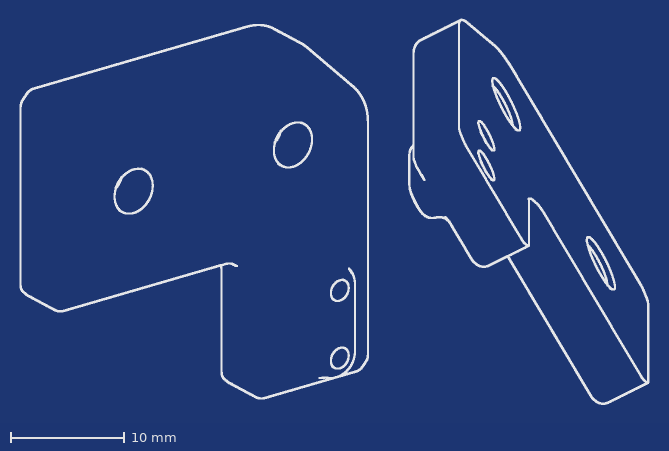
import cadquery as cq
import math

length = 35.0
height = 34.0
plate_thickness = 5.0
arm_height = 20.0
leg_width = 12.9
corner_chamfer = 1.0
corner_blend_radius = 1.0
edge_radius = 1.0
outer_chamfer = 8.0
outer_blend_radius = 5.0
inner_chamfer = 2.0
inner_blend_radius = 2.0

total_thickness = 7.0
boss_top_radius = 1.95
boss_draft = 12.0
boss_root_radius = 1.47
boss_rim_radius = 0.98

large_hole_diameter = 4.2
large_hole_spacing = 17.5
large_hole_drop = 10.0
small_hole_diameter = 1.95
small_hole_spacing = 6.5
small_hole_inset = 5.08
lower_hole_height = 3.22
countersink_depth = 0.5

back = length / 2
front = -length / 2
leg_front = back - leg_width
arm_bottom = height - arm_height
small_hole_y = back - small_hole_inset
small_hole_heights = [lower_hole_height, lower_hole_height + small_hole_spacing]


def round_edges(body, points, radius):
    """Round the X-parallel edges passing through the given (y, z) points."""
    edges = []
    for y, z in points:
        nearest = cq.selectors.NearestToPointSelector((plate_thickness / 2, y, z))
        edges += body.edges("|X").edges(nearest).vals()
    return body.newObject(edges).fillet(radius)


def cut_corner(y, z, y_step, z_step):
    """Return the two ends of the 45-degree cut replacing the corner at (y, z)."""
    return [(y + y_step, z), (y, z + z_step)]


def make_plate():
    c = corner_chamfer
    leg_back = cut_corner(back, 0, -c, c)[::-1]
    leg_tip = cut_corner(leg_front, 0, c, c)
    inner_bend = cut_corner(leg_front, arm_bottom, -inner_chamfer, -inner_chamfer)[::-1]
    arm_lower = cut_corner(front, arm_bottom, c, c)
    arm_upper = cut_corner(front, height, c, -c)[::-1]
    outer_bend = cut_corner(back, height, -outer_chamfer, -outer_chamfer)

    outline = leg_back + leg_tip + inner_bend + arm_lower + arm_upper + outer_bend
    plate = cq.Workplane("YZ").polyline(outline).close().extrude(plate_thickness)
    small_corners = leg_back + leg_tip + arm_lower + arm_upper
    plate = round_edges(plate, small_corners, corner_blend_radius)
    plate = round_edges(plate, outer_bend, outer_blend_radius)
    plate = plate.faces(">X").edges().fillet(edge_radius)
    return round_edges(plate, inner_bend, inner_blend_radius)


def add_boss(plate):
    base_x = plate_thickness - edge_radius
    boss_depth = total_thickness - base_x
    slope = math.tan(math.radians(boss_draft))
    base_radius = boss_top_radius + boss_depth * slope
    boss = (
        cq.Workplane("YZ", origin=(base_x, 0, 0))
        .center(small_hole_y, sum(small_hole_heights) / 2)
        .slot2D(small_hole_spacing + 2 * base_radius, 2 * base_radius, 90)
        .extrude(boss_depth, taper=boss_draft)
    )
    body = plate.union(boss)

    root_margin = 0.05
    root_zone = cq.selectors.BoxSelector(
        (base_x, small_hole_y - base_radius, small_hole_heights[0] - base_radius),
        (plate_thickness + root_margin, small_hole_y + base_radius, small_hole_heights[1] + base_radius),
        boundingbox=True,
    )
    body = body.edges(root_zone).fillet(boss_root_radius)
    return body.faces(">X").edges().fillet(boss_rim_radius)


def countersunk_hole(y, z, diameter):
    radius = diameter / 2
    drill = cq.Workplane("YZ").center(y, z).circle(radius).extrude(total_thickness)
    sink = cq.Solid.makeCone(
        radius + countersink_depth, radius, countersink_depth, cq.Vector(0, y, z), cq.Vector(1, 0, 0)
    )
    return drill.union(cq.Workplane(sink))


result = add_boss(make_plate())
for side in (-1, 1):
    y = side * large_hole_spacing / 2
    result = result.cut(countersunk_hole(y, height - large_hole_drop, large_hole_diameter))
for z in small_hole_heights:
    result = result.cut(countersunk_hole(small_hole_y, z, small_hole_diameter))